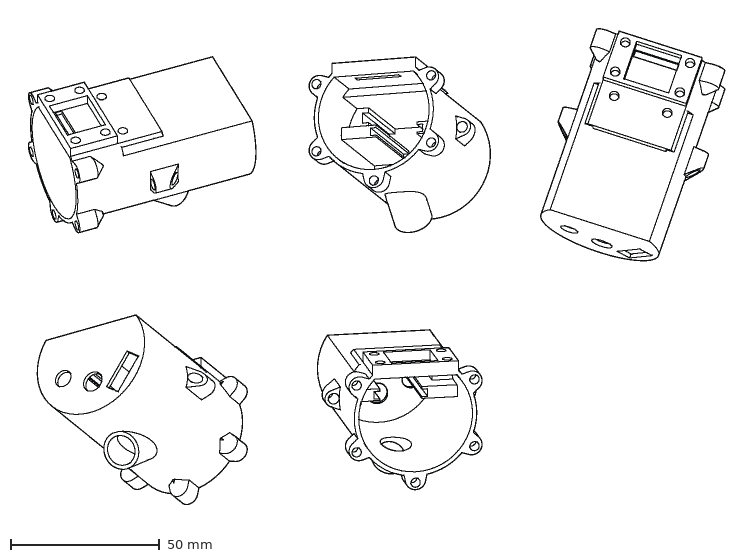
import cadquery as cq
import math

LENGTH = 64.8
TOTAL_WIDTH = 51.7
TOTAL_HEIGHT = 49.9
OUTER_RADIUS = 21.0
INNER_RADIUS = 19.5
BACK_WALL = OUTER_RADIUS - INNER_RADIUS

REAR_FLAT_Z = 11.5
DECK_Z = 15.0
DECK_END_Y = 33.2

GROOVE_TOP_Z = 13.8
GROOVE_START_Y = 18.1
GROOVE_CORE_WIDTH = 25.9

BLOCK_TOP_Z = 18.5
BLOCK_LENGTH = 17.0
BLOCK_HALF_WIDTH = math.sqrt(OUTER_RADIUS**2 - DECK_Z**2)
POCKET_WIDTH = 15.95
POCKET_Y = (1.55, 15.35)
SLIT_WIDTH = 15.35
SLIT_Y = (3.55, 5.95)

FRONT_CEILING_Z = 13.6
REAR_CEILING_Z = 10.9

SCREW_DIAMETER = 3.2
BLOCK_SCREW_X = 11.5
BLOCK_SCREW_Y = (3.1, 13.9)
BLOCK_SCREW_DEPTH = 4.0
DECK_SCREW_X = 9.4
DECK_SCREW_Y = 21.1
DECK_SCREW_DEPTH = 3.0

BOSS_ANGLES = (30, 150, 210, 270, 330)
BOSS_RADIUS = 3.5
BOSS_CENTRE_RADIUS = 22.3
BOSS_SIDE_ANGLE = 12.0
BOSS_LENGTH = 6.6
BOSS_TIP_Y = 10.05
BOSS_TIP_RADIUS = BOSS_RADIUS - (BOSS_TIP_Y - BOSS_LENGTH)
BOSS_SCREW_CENTRE_RADIUS = 23.3
BOSS_SCREW_DEPTH = 6.0

EAR_RADIUS = 3.0
EAR_HOLE_DIAMETER = 3.7
EAR_TIP_X = TOTAL_WIDTH / 2
EAR_CENTRE_X = EAR_TIP_X - EAR_RADIUS
EAR_SIDE_ANGLE = 20.0
EAR_START_Y = 26.5
EAR_TIP_END_Y = 31.55

LUG_ROOT_RADIUS = 20.1

PIPE_DIAMETER = 12.95
PIPE_BORE = 10.2
PIPE_ANGLE = 35.5
PIPE_LOW_CORNER_Y = 40.95
PIPE_LOW_CORNER_Z = BLOCK_TOP_Z - TOTAL_HEIGHT
PIPE_LENGTH = 19.45

LARGE_HOLE_DIAMETER = 7.1
LARGE_HOLE_XZ = (-0.7, -9.4)
SMALL_HOLE_DIAMETER = 6.0
SMALL_HOLE_XZ = (10.8, -5.05)
SLOT_LENGTH = 13.9
SLOT_WIDTH = 5.45
SLOT_XZ = (-12.4, -8.7)
SLOT_ANGLE = -55.1

LOWER_RAIL_X = 7.2
LOWER_RAIL_Z = (-1.35, 2.8)
LOWER_GROOVE_X = 9.15
LOWER_GROOVE_Z = (-0.7, 1.9)
LOWER_RAIL_START_Y = 25.9
UPPER_RAIL_X = 12.1
UPPER_RAIL_Z = (LOWER_RAIL_Z[1], REAR_CEILING_Z)
UPPER_GROOVE_X = 14.2
UPPER_GROOVE_Z = (5.75, 9.2)
UPPER_RAIL_START_Y = DECK_END_Y


def box(x_range, y_range, z_range):
    """Box between the given limits along X, Y and Z."""
    sizes = [limits[1] - limits[0] for limits in (x_range, y_range, z_range)]
    corner = (x_range[0], y_range[0], z_range[0])
    return cq.Workplane("XY").box(*sizes, centered=False).translate(corner)


def centred_box(width, y_range, z_range):
    """Box centred on X = 0."""
    return box((-width / 2, width / 2), y_range, z_range)


def section(y):
    """Sketch plane at depth y, drawn in X and Z; a negative extrusion goes towards +Y."""
    return cq.Workplane(cq.Plane(origin=(0, y, 0), xDir=(1, 0, 0), normal=(0, -1, 0)))


def rod(x, z, diameter, start_y, end_y):
    """Cylinder parallel to Y."""
    return section(start_y).center(x, z).circle(diameter / 2).extrude(start_y - end_y)


def lug_outline(plane, centre, radius, side_angle):
    """Rounded lug pointing along +X, its straight sides spreading towards the tube."""
    lean = math.radians(side_angle)
    tangent_x = centre + radius * math.sin(lean)
    tangent_z = radius * math.cos(lean)
    root_z = tangent_z + (tangent_x - LUG_ROOT_RADIUS) * math.tan(lean)
    return (
        plane.moveTo(LUG_ROOT_RADIUS, -root_z)
        .lineTo(tangent_x, -tangent_z)
        .threePointArc((centre + radius, 0), (tangent_x, tangent_z))
        .lineTo(LUG_ROOT_RADIUS, root_z)
        .close()
    )


def turned(shape, angle):
    """Turn a shape about the tube axis, from +X towards +Z."""
    return shape.rotate((0, 0, 0), (0, -1, 0), angle)


def make_tube():
    tube = rod(0, 0, 2 * OUTER_RADIUS, 0, LENGTH)
    full_width = 2 * OUTER_RADIUS
    above_deck = centred_box(full_width, (0, LENGTH), (DECK_Z, OUTER_RADIUS))
    above_rear = centred_box(full_width, (DECK_END_Y, LENGTH), (REAR_FLAT_Z, OUTER_RADIUS))
    grooves = centred_box(full_width, (GROOVE_START_Y, DECK_END_Y), (REAR_FLAT_Z, GROOVE_TOP_Z))
    core = centred_box(GROOVE_CORE_WIDTH, (GROOVE_START_Y, DECK_END_Y), (REAR_FLAT_Z, GROOVE_TOP_Z))
    return tube.cut(above_deck).cut(above_rear).cut(grooves.cut(core))


def make_block():
    return centred_box(2 * BLOCK_HALF_WIDTH, (0, BLOCK_LENGTH), (DECK_Z, BLOCK_TOP_Z))


def make_boss():
    body = lug_outline(section(0), BOSS_CENTRE_RADIUS, BOSS_RADIUS, BOSS_SIDE_ANGLE).extrude(-BOSS_LENGTH)
    base = lug_outline(section(BOSS_LENGTH), BOSS_CENTRE_RADIUS, BOSS_RADIUS, BOSS_SIDE_ANGLE)
    tip = lug_outline(section(BOSS_TIP_Y), BOSS_CENTRE_RADIUS, BOSS_TIP_RADIUS, BOSS_SIDE_ANGLE)
    cone = cq.Solid.makeLoft([base.val(), tip.val()], True)
    return body.union(cq.Workplane(cone))


def make_ear():
    bevel_end_y = EAR_TIP_END_Y + EAR_TIP_X - LUG_ROOT_RADIUS
    ear = lug_outline(section(EAR_START_Y), EAR_CENTRE_X, EAR_RADIUS, EAR_SIDE_ANGLE)
    ear = ear.extrude(EAR_START_Y - bevel_end_y)
    bevelled_side = (
        cq.Workplane("XY")
        .moveTo(LUG_ROOT_RADIUS, EAR_START_Y)
        .lineTo(EAR_TIP_X, EAR_START_Y)
        .lineTo(EAR_TIP_X, EAR_TIP_END_Y)
        .lineTo(LUG_ROOT_RADIUS, bevel_end_y)
        .close()
        .extrude(OUTER_RADIUS, both=True)
    )
    return ear.intersect(bevelled_side)


def pipe_rod(diameter):
    """Cylinder on the pipe axis, from the pipe's open end up into the tube."""
    rise = math.sin(math.radians(PIPE_ANGLE))
    run = math.cos(math.radians(PIPE_ANGLE))
    end_centre = (
        0,
        PIPE_LOW_CORNER_Y + rise * PIPE_DIAMETER / 2,
        PIPE_LOW_CORNER_Z + run * PIPE_DIAMETER / 2,
    )
    plane = cq.Plane(origin=end_centre, xDir=(1, 0, 0), normal=(0, -run, rise))
    return cq.Workplane(plane).circle(diameter / 2).extrude(PIPE_LENGTH)


def make_rails():
    """Both pairs of rails, ending on the back wall and trimmed to the tube."""
    rails = cq.Workplane("XY")
    rail_sizes = (
        (LOWER_RAIL_X, LOWER_RAIL_Z, LOWER_GROOVE_X, LOWER_GROOVE_Z, LOWER_RAIL_START_Y),
        (UPPER_RAIL_X, UPPER_RAIL_Z, UPPER_GROOVE_X, UPPER_GROOVE_Z, UPPER_RAIL_START_Y),
    )
    for rail_x, rail_z, groove_x, groove_z, start_y in rail_sizes:
        along = (start_y, LENGTH - BACK_WALL)
        rail = box((rail_x, OUTER_RADIUS), along, rail_z)
        rail = rail.cut(box((rail_x, groove_x), along, groove_z))
        rails = rails.union(rail).union(rail.mirror("YZ"))
    return rails.intersect(rod(0, 0, 2 * INNER_RADIUS, 0, LENGTH))


def make_cavity():
    cavity = rod(0, 0, 2 * INNER_RADIUS, 0, LENGTH - BACK_WALL)
    above_front = centred_box(2 * INNER_RADIUS, (0, LENGTH), (FRONT_CEILING_Z, INNER_RADIUS))
    above_rear = centred_box(2 * INNER_RADIUS, (BLOCK_LENGTH, LENGTH), (REAR_CEILING_Z, INNER_RADIUS))
    return cavity.cut(above_front).cut(above_rear).cut(make_rails())


def screw_holes():
    deck_places = [(x, DECK_SCREW_Y) for x in (-DECK_SCREW_X, DECK_SCREW_X)]
    block_places = [(x, y) for x in (-BLOCK_SCREW_X, BLOCK_SCREW_X) for y in BLOCK_SCREW_Y]
    holes = cq.Workplane("XY")
    for places, top_z, depth in (
        (deck_places, DECK_Z, DECK_SCREW_DEPTH),
        (block_places, BLOCK_TOP_Z, BLOCK_SCREW_DEPTH),
    ):
        top = cq.Workplane("XY", origin=(0, 0, top_z))
        holes = holes.union(top.pushPoints(places).circle(SCREW_DIAMETER / 2).extrude(-depth))
    boss_hole = rod(BOSS_SCREW_CENTRE_RADIUS, 0, SCREW_DIAMETER, 0, BOSS_SCREW_DEPTH)
    for angle in BOSS_ANGLES:
        holes = holes.union(turned(boss_hole, angle))
    return holes


def back_wall_openings():
    start_y = LENGTH - BACK_WALL
    slot = section(start_y).center(*SLOT_XZ).transformed(rotate=(0, 0, SLOT_ANGLE))
    slot = slot.rect(SLOT_LENGTH, SLOT_WIDTH).extrude(-BACK_WALL)
    large_hole = rod(*LARGE_HOLE_XZ, LARGE_HOLE_DIAMETER, start_y, LENGTH)
    small_hole = rod(*SMALL_HOLE_XZ, SMALL_HOLE_DIAMETER, start_y, LENGTH)
    return slot.union(large_hole).union(small_hole)


housing = make_tube().union(make_block()).union(pipe_rod(PIPE_DIAMETER))
boss = make_boss()
for boss_angle in BOSS_ANGLES:
    housing = housing.union(turned(boss, boss_angle))
ear = make_ear()
housing = housing.union(ear).union(ear.mirror("YZ"))

housing = housing.cut(make_cavity()).cut(pipe_rod(PIPE_BORE))
housing = housing.cut(centred_box(POCKET_WIDTH, POCKET_Y, (DECK_Z, BLOCK_TOP_Z)))
housing = housing.cut(centred_box(SLIT_WIDTH, SLIT_Y, (FRONT_CEILING_Z, DECK_Z)))
housing = housing.cut(screw_holes()).cut(back_wall_openings())
ear_hole = rod(EAR_CENTRE_X, 0, EAR_HOLE_DIAMETER, EAR_START_Y, LENGTH)
result = housing.cut(ear_hole).cut(ear_hole.mirror("YZ"))